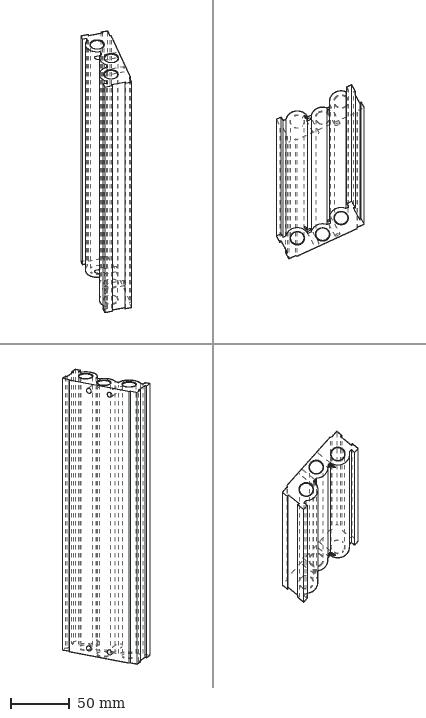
import cadquery as cq
import math

width = 72.0
depth = 25.0
length = 249.0
half_width = width / 2
front_y = -depth / 2
back_y = depth / 2

pad_half_width = 29.5
pad_height = 1.0
pad_bevel = 0.7

wall_radius = 10.0
bore_radius = 5.7
bore_chamfer = 0.5
side_duct_x = 21.0
side_duct_y = front_y + wall_radius
middle_duct_y = 4.0
duct_centers = [(-side_duct_x, side_duct_y), (0, middle_duct_y), (side_duct_x, side_duct_y)]

web_y = side_duct_y
foot_width = 4.7
foot_recess_y = front_y + 3.7

groove_depth = 1.5
groove_mouth = 11.0
groove_floor = 12.5
groove_y = 0.0

mount_radius = 2.2
mount_x = 10.0
mount_end_distance = 6.5


def build_body():
    """Extrude the block, its webs, duct walls and feet as a single mirrored profile."""
    foot_x = half_width - foot_width
    shoulder_y = back_y - pad_height
    middle_wall_end_x = math.sqrt(wall_radius**2 - (middle_duct_y - web_y) ** 2)
    side_wall_end_x = side_duct_x + math.sqrt(wall_radius**2 - (side_duct_y - foot_recess_y) ** 2)
    half_profile = (
        cq.Workplane("XY")
        .moveTo(0, back_y)
        .lineTo(0, middle_duct_y - wall_radius)
        .radiusArc((middle_wall_end_x, web_y), -wall_radius)
        .lineTo(side_duct_x - wall_radius, web_y)
        .threePointArc((side_duct_x, front_y), (side_wall_end_x, foot_recess_y))
        .lineTo(foot_x, foot_recess_y)
        .lineTo(foot_x, front_y)
        .lineTo(half_width, front_y)
        .lineTo(half_width, shoulder_y)
        .lineTo(pad_half_width, shoulder_y)
        .lineTo(pad_half_width - pad_bevel, back_y)
        .close()
    )
    half_body = half_profile.extrude(length)
    return half_body.union(half_body.mirror("YZ"))


def build_bores():
    """Through bores that widen in a chamfer at both ends."""
    mouth_radius = bore_radius + bore_chamfer
    half_section = [
        (0, 0),
        (mouth_radius, 0),
        (bore_radius, bore_chamfer),
        (bore_radius, length - bore_chamfer),
        (mouth_radius, length),
        (0, length),
    ]
    bore = cq.Workplane("XZ").polyline(half_section).close().revolve(360, (0, 0), (0, 1))
    bores = cq.Workplane("XY")
    for x, y in duct_centers:
        bores = bores.add(bore.translate((x, y, 0)))
    return bores.combine()


def build_edge_groove():
    """Dovetail groove on the +X edge."""
    floor_x = half_width - groove_depth
    outline = [
        (half_width, groove_y - groove_mouth / 2),
        (half_width, groove_y + groove_mouth / 2),
        (floor_x, groove_y + groove_floor / 2),
        (floor_x, groove_y - groove_floor / 2),
    ]
    return cq.Workplane("XY").polyline(outline).close().extrude(length)


def build_mount_holes():
    """Four round holes running through the part along Y."""
    centers = []
    for x in (-mount_x, mount_x):
        for z in (mount_end_distance, length - mount_end_distance):
            centers.append((x, z))
    holes = cq.Workplane("XZ").pushPoints(centers).circle(mount_radius)
    return holes.extrude(depth, both=True)


edge_groove = build_edge_groove()

result = build_body()
result = result.cut(build_bores())
result = result.cut(edge_groove).cut(edge_groove.mirror("YZ"))
result = result.cut(build_mount_holes())